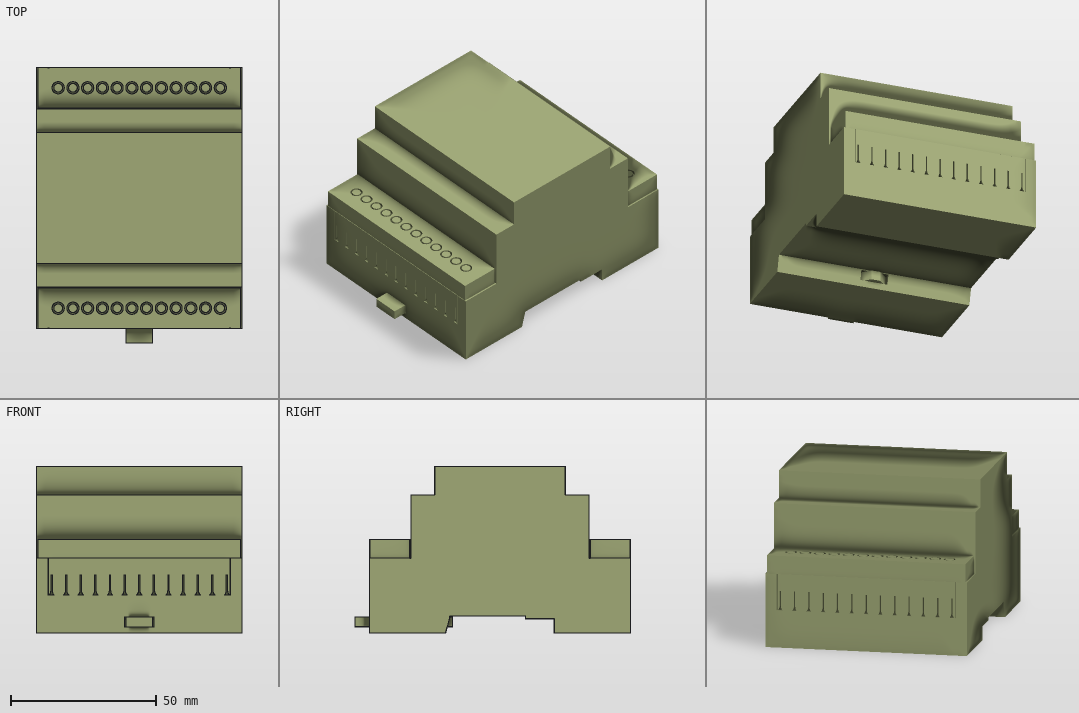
import cadquery as cq
import math

WIDTH = 71.0
HEIGHT = 57.5
HALF_DEPTH = 45.065
CUT_OVERSHOOT = 1.0

TOP_HALF_DEPTH = 22.5
SHOULDER_HALF_DEPTH = 30.75
SHOULDER_Z = 47.7
LEDGE_Z = 25.9

CHANNEL_REAR_Y = 18.7
CHANNEL_STEP_Y = 8.75
CHANNEL_SLOPE_TOP_Y = -17.2
CHANNEL_SLOPE_BOTTOM_Y = -18.75
CHANNEL_REAR_Z = 4.9
CHANNEL_ROOF_Z = 5.9

BLOCK_WIDTH = 69.9
BLOCK_TOP_Z = 32.35
BLOCK_FACE_SETBACK = 0.15
BLOCK_WALL_GAP = 0.3

SCREW_COUNT = 12
SCREW_PITCH = 5.08
SCREW_ROW_Y = 38.0
SCREW_RADIUS = 1.5
SCREW_HOLE_RADIUS = 2.1
SCREW_GROOVE_DEPTH = 1.0

SLIT_COUNT = SCREW_COUNT + 1
SLIT_PITCH = 5.04
SLIT_WIDTH = 0.5
SLIT_TOP_Z = 20.05
SLIT_BOTTOM_Z = 13.1
SLIT_FLARE_WIDTH = 1.8
SLIT_DEPTH = 2.0
PANEL_WIDTH = 62.8
PANEL_GROOVE_WIDTH = 0.25

CLIP_WIDTH = 9.3
CLIP_BOTTOM_Z = 2.15
CLIP_TOP_Z = 5.6
CLIP_PROTRUSION = 5.0
CLIP_TIP_Y = -16.35
CLIP_TIP_CHAMFER = 3.0
CLIP_SIDE_GAP = 0.35


def centered_box(width, y_start, y_end, z_start, z_end, x_center=0.0):
    """Box centred on x_center, given by its Y and Z limits."""
    return (
        cq.Workplane("XY")
        .box(width, y_end - y_start, z_end - z_start, centered=(True, False, False))
        .translate((x_center, y_start, z_start))
    )


def row_positions(count, pitch):
    """X positions of a row that is centred on the part."""
    return [(i - (count - 1) / 2) * pitch for i in range(count)]


def housing_profile():
    """Stepped outline with the rail channel, extruded across the width."""
    points = [
        (-HALF_DEPTH, 0),
        (CHANNEL_SLOPE_BOTTOM_Y, 0),
        (CHANNEL_SLOPE_TOP_Y, CHANNEL_ROOF_Z),
        (CHANNEL_STEP_Y, CHANNEL_ROOF_Z),
        (CHANNEL_STEP_Y, CHANNEL_REAR_Z),
        (CHANNEL_REAR_Y, CHANNEL_REAR_Z),
        (CHANNEL_REAR_Y, 0),
        (HALF_DEPTH, 0),
        (HALF_DEPTH, LEDGE_Z),
        (SHOULDER_HALF_DEPTH, LEDGE_Z),
        (SHOULDER_HALF_DEPTH, SHOULDER_Z),
        (TOP_HALF_DEPTH, SHOULDER_Z),
        (TOP_HALF_DEPTH, HEIGHT),
        (-TOP_HALF_DEPTH, HEIGHT),
        (-TOP_HALF_DEPTH, SHOULDER_Z),
        (-SHOULDER_HALF_DEPTH, SHOULDER_Z),
        (-SHOULDER_HALF_DEPTH, LEDGE_Z),
        (-HALF_DEPTH, LEDGE_Z),
    ]
    return cq.Workplane("YZ").polyline(points).close().extrude(WIDTH / 2, both=True)


def front_terminal_block():
    return centered_box(
        BLOCK_WIDTH,
        -HALF_DEPTH + BLOCK_FACE_SETBACK,
        -SHOULDER_HALF_DEPTH - BLOCK_WALL_GAP,
        LEDGE_Z,
        BLOCK_TOP_Z,
    )


def front_screw_grooves():
    """Ring grooves around the screw heads in the front block's top."""
    return (
        cq.Workplane("XY", origin=(0, 0, BLOCK_TOP_Z))
        .pushPoints([(x, -SCREW_ROW_Y) for x in row_positions(SCREW_COUNT, SCREW_PITCH)])
        .circle(SCREW_HOLE_RADIUS)
        .circle(SCREW_RADIUS)
        .extrude(-SCREW_GROOVE_DEPTH)
    )


def front_slit(x_center):
    """Narrow slit whose foot flares along the round ends of the wire entries beside it."""
    half_width = SLIT_WIDTH / 2
    half_flare = SLIT_FLARE_WIDTH / 2
    entry_radius = (SLIT_PITCH - SLIT_WIDTH) / 2
    half_chord = SLIT_PITCH / 2 - half_flare
    flare_start_z = SLIT_BOTTOM_Z + math.sqrt(entry_radius**2 - half_chord**2)
    return (
        cq.Workplane("XZ", origin=(x_center, -HALF_DEPTH, 0))
        .moveTo(-half_width, SLIT_TOP_Z)
        .lineTo(half_width, SLIT_TOP_Z)
        .lineTo(half_width, flare_start_z)
        .radiusArc((half_flare, SLIT_BOTTOM_Z), -entry_radius)
        .lineTo(-half_flare, SLIT_BOTTOM_Z)
        .radiusArc((-half_width, flare_start_z), -entry_radius)
        .close()
        .extrude(-SLIT_DEPTH)
    )


def front_panel_cuts():
    """The slits of the front wire-entry panel and the grooves along its two sides."""
    cuts = [front_slit(x) for x in row_positions(SLIT_COUNT, SLIT_PITCH)]
    for side in (-1, 1):
        cuts.append(
            centered_box(
                PANEL_GROOVE_WIDTH,
                -HALF_DEPTH,
                -HALF_DEPTH + SLIT_DEPTH,
                SLIT_BOTTOM_Z,
                LEDGE_Z,
                x_center=side * PANEL_WIDTH / 2,
            )
        )
    return cuts


def with_rear_copy(shape):
    return [shape, shape.mirror("XZ")]


def clip_slot():
    """Slot from the front face into the rail channel, wider than the clip."""
    return centered_box(
        CLIP_WIDTH + 2 * CLIP_SIDE_GAP,
        -HALF_DEPTH - CUT_OVERSHOOT,
        CLIP_TIP_Y,
        CLIP_BOTTOM_Z,
        CLIP_TOP_Z,
    )


def build_housing():
    housing = housing_profile()
    for block in with_rear_copy(front_terminal_block()):
        housing = housing.union(block)
    for cut in [front_screw_grooves(), *front_panel_cuts()]:
        for tool in with_rear_copy(cut):
            housing = housing.cut(tool)
    return housing.cut(clip_slot())


def build_clip():
    """Flat sliding bar with a chamfered tip inside the rail channel."""
    bar = centered_box(
        CLIP_WIDTH,
        -HALF_DEPTH - CLIP_PROTRUSION,
        CLIP_TIP_Y,
        CLIP_BOTTOM_Z,
        CLIP_TOP_Z,
    )
    return bar.faces(">Y").edges("|Z").chamfer(CLIP_TIP_CHAMFER)


housing = build_housing()
clip = build_clip()

result = cq.Compound.makeCompound([housing.val(), clip.val()])